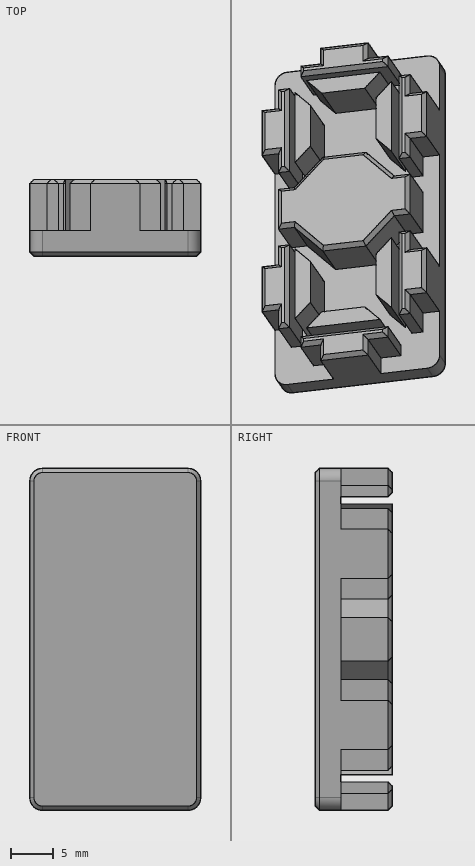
import cadquery as cq


cell = 20.0
width = cell
height = 2 * cell
plate_thickness = 3.0
corner_radius = 1.5
chamfer = 0.5

total_depth = 9.0
plug_length = total_depth - plate_thickness

half_cell = cell / 2
neck_half_width = 2.88
lip_half_width = 5.3
lip_outer = 8.0
lip_inner = 6.65

wedge_outer = 5.84
core_half_width = 4.0
web_offset = 1.38

centre_half_width = 8.0
centre_half_height = 2.55

up, left, down, right = 0, 90, 180, 270
upper_slots = [(half_cell, turn) for turn in (left, right, up)]
lower_slots = [(-half_cell, turn) for turn in (left, right, down)]


def extrude_plug(outline):
    """Extrude an (X, Z) outline from the back of the plate toward +Y."""
    plane = cq.Workplane("XZ", origin=(0, plate_thickness, 0))
    return plane.polyline(outline).close().extrude(-plug_length)


def place_in_slot(shape, cell_z, turn):
    """Move a shape drawn for an upward slot at the origin to its cell and side."""
    return shape.rotate((0, 0, 0), (0, -1, 0), turn).translate((0, 0, cell_z))


def make_plate():
    plate = cq.Workplane("XY").box(width, plate_thickness, height, centered=(True, False, True))
    plate = plate.edges("|Y").fillet(corner_radius)
    return plate.faces("<Y").chamfer(chamfer)


def make_slot_plug():
    outline = [
        (-neck_half_width, half_cell),
        (neck_half_width, half_cell),
        (neck_half_width, lip_outer),
        (lip_half_width, lip_outer),
        (lip_half_width, lip_inner),
        (-lip_half_width, lip_inner),
        (-lip_half_width, lip_outer),
        (-neck_half_width, lip_outer),
    ]
    return extrude_plug(outline).faces(">Y").chamfer(chamfer)


def make_wedge():
    outer_half_width = wedge_outer - web_offset
    inner_half_width = core_half_width - web_offset
    outline = [
        (-outer_half_width, wedge_outer),
        (outer_half_width, wedge_outer),
        (inner_half_width, core_half_width),
        (-inner_half_width, core_half_width),
    ]
    return extrude_plug(outline)


def make_centre_plug():
    top_z = half_cell - core_half_width
    top_x = core_half_width - web_offset
    flank_x = top_x + top_z - centre_half_height
    upper_half = [
        (centre_half_width, centre_half_height),
        (flank_x, centre_half_height),
        (top_x, top_z),
        (-top_x, top_z),
        (-flank_x, centre_half_height),
        (-centre_half_width, centre_half_height),
    ]
    lower_half = [(-x, -z) for x, z in upper_half]
    return extrude_plug(upper_half + lower_half).faces(">Y").chamfer(chamfer)


result = make_plate().union(make_centre_plug())
for cell_z, turn in upper_slots + lower_slots:
    result = result.union(place_in_slot(make_slot_plug(), cell_z, turn))
    result = result.union(place_in_slot(make_wedge(), cell_z, turn))